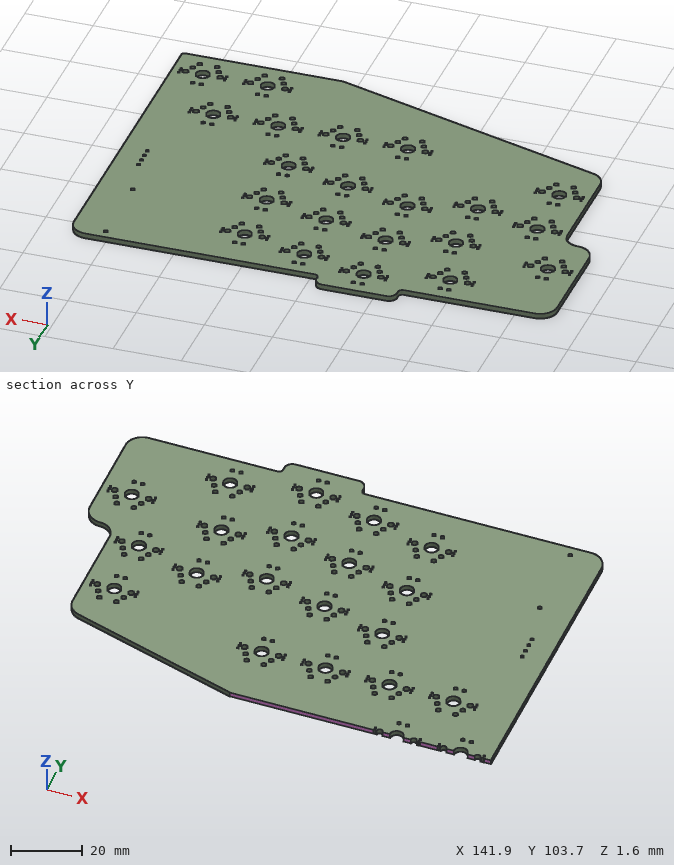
import cadquery as cq
import math

LENGTH = 141.86
WIDTH = 103.7
THICKNESS = 1.6

TOP_EDGE_Y = 99.2
TAB_LEFT_X = 44.6
TAB_RIGHT_X = 68.3
TAB_OUTER_RADIUS = 2.4
TAB_INNER_RADIUS = 1.2
STEP_X = 9.55
STEP_Y = 61.7
STEP_INNER_RADIUS = 4.5
CORNER_RADIUS = 5.0
SLOPE_END_X = 94.7
SLOPE_ANGLE = 16.37
SLOPE_END_RADIUS = 5.0
LOWER_RIGHT_RADIUS = 1.0

KEY_PITCH = 19.05
GRID_X = 9.02
GRID_Y = 8.99
KEY_GROUPS = [
    (0, 3.5, 1),
    (0.5, 1.5, 2),
    (1.25, 4.25, 1),
    (1.5, 2.25, 2),
    (2.5, 2.5, 3),
    (3.5, 2.25, 3),
    (4.5, 2, 3),
    (3, 1, 1),
    (4, 1, 1),
    (5, 1, 1),
    (6, 1, 1),
    (5.5, 0, 1),
    (6.5, 0, 1),
]

CENTRE_DIAMETER = 3.99
PEG_DIAMETER = 1.7
PEG_X = 5.08
PIN_DIAMETER = 1.4
PIN_PLACES = [(3.81, -2.54), (2.54, -4.9)]
LED_DIAMETER = 1.1
LED_X = 1.27
LED_Y = 5.08
SIDE_HOLE_DIAMETER = 0.5
SIDE_HOLE_COUNT = 3
SIDE_HOLE_PITCH = 1.0
SIDE_HOLE_X = 6.69

HEADER_DIAMETER = 0.9
HEADER_PITCH = 2.54
HEADER_COUNT = 4
HEADER_X = 134.5
HEADER_BOTTOM_Y = 52.2
UPPER_HOLE_DIAMETER = 1.1
UPPER_HOLE_X = 131.8
UPPER_HOLE_YS = [72.8, 96.2]


def key_centres():
    centres = []
    for column, lowest_row, count in KEY_GROUPS:
        for index in range(count):
            x = GRID_X + column * KEY_PITCH
            y = GRID_Y + (lowest_row + index) * KEY_PITCH
            centres.append((x, y))
    return centres


def around_keys(offset_x, offset_y):
    """Points at a mirrored pair of offsets from every key centre."""
    return [
        (x + side * offset_x, y + offset_y)
        for x, y in key_centres()
        for side in (-1, 1)
    ]


def round_corner(plate, x, y, radius):
    """Round the vertical edge standing at (x, y)."""
    edge = cq.selectors.NearestToPointSelector((x, y, THICKNESS / 2))
    return plate.edges(edge).fillet(radius)


def make_plate():
    slope_start_y = (SLOPE_END_X - STEP_X) * math.tan(math.radians(SLOPE_ANGLE))
    corners = [
        (LENGTH, 0, LOWER_RIGHT_RADIUS),
        (LENGTH, TOP_EDGE_Y, CORNER_RADIUS),
        (TAB_RIGHT_X, TOP_EDGE_Y, TAB_INNER_RADIUS),
        (TAB_RIGHT_X, WIDTH, TAB_OUTER_RADIUS),
        (TAB_LEFT_X, WIDTH, TAB_OUTER_RADIUS),
        (TAB_LEFT_X, TOP_EDGE_Y, TAB_INNER_RADIUS),
        (0, TOP_EDGE_Y, CORNER_RADIUS),
        (0, STEP_Y, CORNER_RADIUS),
        (STEP_X, STEP_Y, STEP_INNER_RADIUS),
        (STEP_X, slope_start_y, CORNER_RADIUS),
        (SLOPE_END_X, 0, SLOPE_END_RADIUS),
    ]
    plate = cq.Workplane().polyline([(x, y) for x, y, _ in corners]).close().extrude(THICKNESS)
    for x, y, radius in corners:
        plate = round_corner(plate, x, y, radius)
    return plate


def drill(plate, points, diameter):
    holes = cq.Workplane().pushPoints(points).circle(diameter / 2).extrude(THICKNESS)
    return plate.cut(holes)


def cut_switch_holes(plate):
    plate = drill(plate, key_centres(), CENTRE_DIAMETER)
    plate = drill(plate, around_keys(PEG_X, 0), PEG_DIAMETER)
    for x, y in PIN_PLACES:
        plate = drill(plate, around_keys(x, y), PIN_DIAMETER)
    plate = drill(plate, around_keys(LED_X, LED_Y), LED_DIAMETER)
    for row in range(SIDE_HOLE_COUNT):
        y = (row - (SIDE_HOLE_COUNT - 1) / 2) * SIDE_HOLE_PITCH
        plate = drill(plate, around_keys(SIDE_HOLE_X, y), SIDE_HOLE_DIAMETER)
    return plate


def cut_connector_holes(plate):
    header = [(HEADER_X, HEADER_BOTTOM_Y + i * HEADER_PITCH) for i in range(HEADER_COUNT)]
    plate = drill(plate, header, HEADER_DIAMETER)
    return drill(plate, [(UPPER_HOLE_X, y) for y in UPPER_HOLE_YS], UPPER_HOLE_DIAMETER)


result = cut_connector_holes(cut_switch_holes(make_plate()))